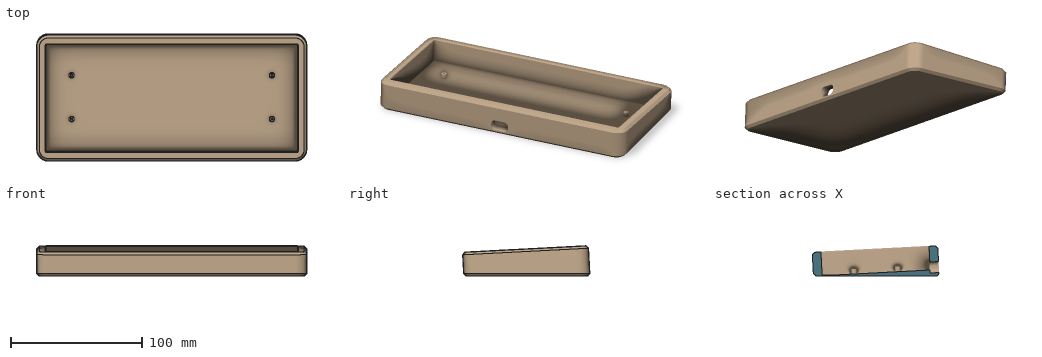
import cadquery as cq
import math

KEY_PITCH = 19.05
KEY_COLUMNS = 10
KEY_ROWS = 4.25
BEZEL = 7.5
CAVITY_CLEARANCE = 0.5

CASE_WIDTH = KEY_COLUMNS * KEY_PITCH + 2 * BEZEL
CASE_DEPTH = KEY_ROWS * KEY_PITCH + 2 * BEZEL
OVERALL_HEIGHT = 23.17
TILT = 3.0
CORNER_RADIUS = 9.0
EDGE_CHAMFER = 2.0

CAVITY_WIDTH = CASE_WIDTH - 2 * (BEZEL - CAVITY_CLEARANCE)
CAVITY_DEPTH = CASE_DEPTH - 2 * (BEZEL - CAVITY_CLEARANCE)
CAVITY_CORNER_RADIUS = 1.0
CAVITY_RIM_CHAMFER = 0.5
FLOOR_DROP = 18.05
MIN_FLOOR_THICKNESS = 1.0

POST_DIAMETER = 4.0
POST_HOLE_DIAMETER = 1.6
POST_HEIGHT = 3.5
POST_COLUMNS_APART = 8
POST_ROWS_APART = 1.75
POST_SPACING_X = POST_COLUMNS_APART * KEY_PITCH
POST_SPACING_Y = POST_ROWS_APART * KEY_PITCH

PORT_HEIGHT = 8.0
PORT_WIDTH = 14.0
PORT_CENTER_DROP = 16.35
PORT_CORNER_RADIUS = 3.25

TILT_RAD = math.radians(TILT)
TOP_HEIGHT = OVERALL_HEIGHT - (CASE_DEPTH / 2 - EDGE_CHAMFER) * math.sin(TILT_RAD)


def tilt(shape):
    """Place a shape modelled with the case top at Z = 0 onto the tilted top."""
    return shape.rotate((0, 0, 0), (1, 0, 0), TILT).translate((0, 0, TOP_HEIGHT))


def outer_body():
    blank_height = 2 * OVERALL_HEIGHT
    blank = (
        cq.Workplane("XY")
        .workplane(offset=-blank_height)
        .rect(CASE_WIDTH, CASE_DEPTH)
        .extrude(blank_height)
        .edges("|Z")
        .fillet(CORNER_RADIUS)
        .faces(">Z")
        .chamfer(EDGE_CHAMFER)
    )
    above_underside = cq.Workplane("XY").box(
        2 * CASE_WIDTH, 2 * CASE_DEPTH, 2 * OVERALL_HEIGHT, centered=(True, True, False)
    )
    return tilt(blank).intersect(above_underside).faces("<Z").chamfer(EDGE_CHAMFER)


def cavity():
    """Pocket with a floor parallel to the top and a level strip along the front."""
    pocket = (
        cq.Workplane("XY")
        .workplane(offset=-FLOOR_DROP)
        .rect(CAVITY_WIDTH, CAVITY_DEPTH)
        .extrude(FLOOR_DROP)
        .edges("|Z")
        .fillet(CAVITY_CORNER_RADIUS)
    )
    rim_chamfer = (
        cq.Workplane("XY")
        .rect(CAVITY_WIDTH + 2 * CAVITY_RIM_CHAMFER, CAVITY_DEPTH + 2 * CAVITY_RIM_CHAMFER)
        .extrude(2 * CAVITY_RIM_CHAMFER)
        .translate((0, 0, -CAVITY_RIM_CHAMFER))
        .edges("|Z")
        .fillet(CAVITY_CORNER_RADIUS + CAVITY_RIM_CHAMFER)
        .faces("<Z")
        .chamfer(CAVITY_RIM_CHAMFER)
    )
    above_strip = (
        cq.Workplane("XY")
        .workplane(offset=MIN_FLOOR_THICKNESS)
        .rect(2 * CASE_WIDTH, 2 * CASE_DEPTH)
        .extrude(2 * OVERALL_HEIGHT)
    )
    return tilt(pocket.union(rim_chamfer)).intersect(above_strip)


def add_posts(body):
    posts = (
        cq.Workplane("XY")
        .workplane(offset=-FLOOR_DROP)
        .rect(POST_SPACING_X, POST_SPACING_Y, forConstruction=True)
        .vertices()
    )
    pins = posts.circle(POST_DIAMETER / 2).extrude(POST_HEIGHT)
    holes = posts.circle(POST_HOLE_DIAMETER / 2).extrude(POST_HEIGHT)
    return body.union(tilt(pins)).cut(tilt(holes))


def port():
    """Round-cornered opening through the back wall that dips below the cavity floor."""
    wall = BEZEL - CAVITY_CLEARANCE
    slot = (
        cq.Workplane("XZ", origin=(0, CASE_DEPTH / 2 + wall, -PORT_CENTER_DROP))
        .rect(PORT_WIDTH, PORT_HEIGHT)
        .extrude(2 * wall)
        .edges("|Y")
        .fillet(PORT_CORNER_RADIUS)
    )
    return tilt(slot)


result = add_posts(outer_body().cut(cavity()).cut(port()))